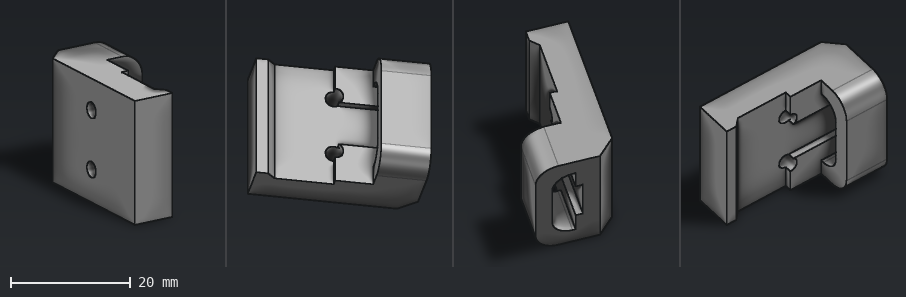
import cadquery as cq

length = 28.5
depth = 14.3
height = 22.0

front_chamfer = 3.02
loop_length = 8.55
land_length = 15.02
land_depth = 7.3
floor_depth = 6.0
lip_depth = 7.45
ramp_start = 25.08
ramp_end = ramp_start + lip_depth - floor_depth

outer_radius = 4.0
slot_back = 11.37
slot_height = 15.65
slot_radius = 3.5
groove_height = 8.05

hole_diameter = 2.8
hole_spacing = 10.52
hole_x = land_length

mid_z = height / 2
raised_offset = 0.1
hole_mid_z = mid_z + raised_offset


def box_between(x_range, y_range, z_height):
    """Box spanning the given X and Y ranges, centred on the mid height."""
    (x0, x1), (y0, y1) = x_range, y_range
    return (
        cq.Workplane("XY")
        .box(x1 - x0, y1 - y0, z_height)
        .translate(((x0 + x1) / 2, (y0 + y1) / 2, mid_z))
    )


def make_body():
    """Stepped plate with the loop block at its left end."""
    profile = [
        (front_chamfer, 0),
        (length, 0),
        (length, lip_depth),
        (ramp_end, lip_depth),
        (ramp_start, floor_depth),
        (land_length, floor_depth),
        (land_length, land_depth),
        (loop_length, land_depth),
        (loop_length, depth),
        (0, depth),
        (0, front_chamfer),
    ]
    body = cq.Workplane("XY").polyline(profile).close().extrude(height)
    return body.edges("|X and >Y").fillet(outer_radius)


def make_slot():
    """Strap opening through the loop, rounded on its back side."""
    slot = box_between((0, loop_length), (land_depth, slot_back), slot_height)
    return slot.edges("|X and >Y").fillet(slot_radius)


def make_groove():
    """Shallow groove along the land, level with the plate floor."""
    groove = box_between((0, land_length), (floor_depth, land_depth), groove_height)
    return groove.translate((0, 0, raised_offset))


def make_holes():
    """Pair of holes through the plate along Y."""
    holes = cq.Workplane("XY")
    for side in (-1, 1):
        hole_z = hole_mid_z + side * hole_spacing / 2
        hole = (
            cq.Workplane("XZ", origin=(hole_x, 0, hole_z))
            .circle(hole_diameter / 2)
            .extrude(-depth)
        )
        holes = holes.add(hole)
    return holes.combine()


result = make_body().cut(make_slot()).cut(make_groove()).cut(make_holes())